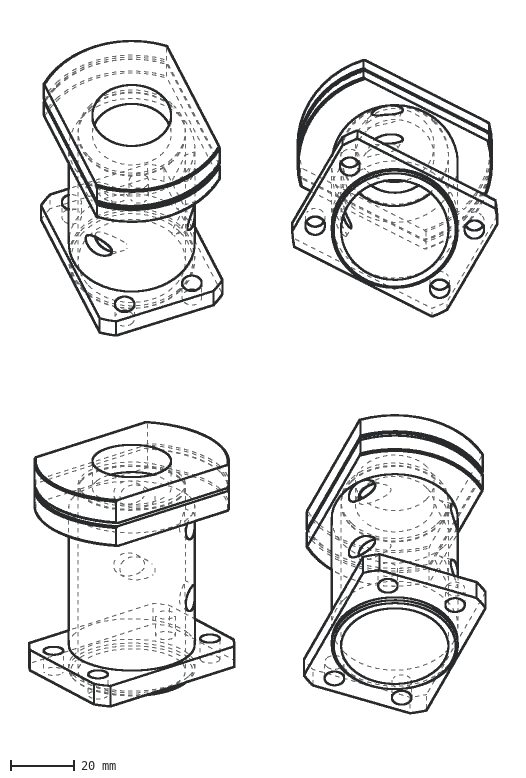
import cadquery as cq

total_height = 73.0
width_y = 42.0
cap_bore_diameter = 25.0

flange_diameter = 61.75
cap_flange_thickness = 8.0
flange_chamfer = 0.45
spigot_diameter = 34.0
flange_gap = 1.1
spigot_depth_in_column = 0.4
spigot_height = flange_gap + spigot_depth_in_column

tube_diameter = 40.0
column_flange_thickness = 6.85
tube_end_chamfer = 0.65
column_height = total_height - cap_flange_thickness - flange_gap
column_bore_diameter = spigot_diameter

cross_hole_diameter = 8.0
cross_hole_x = 11.25
lower_cross_hole_z = 28.0
cross_hole_spacing = 25.0

plate_length = 56.0
plate_thickness = 7.15
plate_bottom_z = 2.0
plate_corner_diameter = 65.1
mount_hole_diameter = 6.2
mount_hole_spacing_x = 45.0
mount_hole_spacing_y = 23.0


def cylinder(diameter, height, bottom_z):
    """Upright cylinder on the Z axis."""
    return cq.Workplane("XY").workplane(offset=bottom_z).circle(diameter / 2).extrude(height)


def block(length, height, bottom_z):
    """Centred block with the common Y width."""
    return cq.Workplane("XY").workplane(offset=bottom_z).rect(length, width_y).extrude(height)


def make_flange(thickness, bottom_z):
    """Chamfered disc with two flats parallel to X."""
    disc = cylinder(flange_diameter, thickness, bottom_z).edges().chamfer(flange_chamfer)
    return disc.intersect(block(flange_diameter, thickness, bottom_z))


def make_foot_plate():
    """Plate with corners rounded about the Z axis and four mounting holes."""
    plate = block(plate_length, plate_thickness, plate_bottom_z)
    plate = plate.intersect(cylinder(plate_corner_diameter, plate_thickness, plate_bottom_z))
    mount_holes = (
        cq.Workplane("XY")
        .workplane(offset=plate_bottom_z)
        .rect(mount_hole_spacing_x, mount_hole_spacing_y, forConstruction=True)
        .vertices()
        .circle(mount_hole_diameter / 2)
        .extrude(plate_thickness)
    )
    return plate.cut(mount_holes)


def make_cross_holes():
    """Two cylinders along Y, one above the other."""
    return (
        cq.Workplane("XZ")
        .pushPoints([(cross_hole_x, lower_cross_hole_z + i * cross_hole_spacing) for i in range(2)])
        .circle(cross_hole_diameter / 2)
        .extrude(tube_diameter / 2, both=True)
    )


def make_column():
    """Bored tube with its upper flange and foot plate."""
    tube = cylinder(tube_diameter, column_height, 0).faces("<Z").edges().chamfer(tube_end_chamfer)
    flange = make_flange(column_flange_thickness, column_height - column_flange_thickness)
    bore = cylinder(column_bore_diameter, column_height, 0)
    return tube.union(flange).union(make_foot_plate()).cut(bore).cut(make_cross_holes())


def make_cap():
    """Bored flange whose spigot enters the top of the column bore."""
    spigot_bottom_z = column_height - spigot_depth_in_column
    spigot = cylinder(spigot_diameter, spigot_height, spigot_bottom_z)
    flange = make_flange(cap_flange_thickness, column_height + flange_gap)
    bore = cylinder(cap_bore_diameter, total_height - spigot_bottom_z, spigot_bottom_z)
    return spigot.union(flange).cut(bore)


column = make_column()
cap = make_cap()

result = cq.Compound.makeCompound([column.val(), cap.val()])